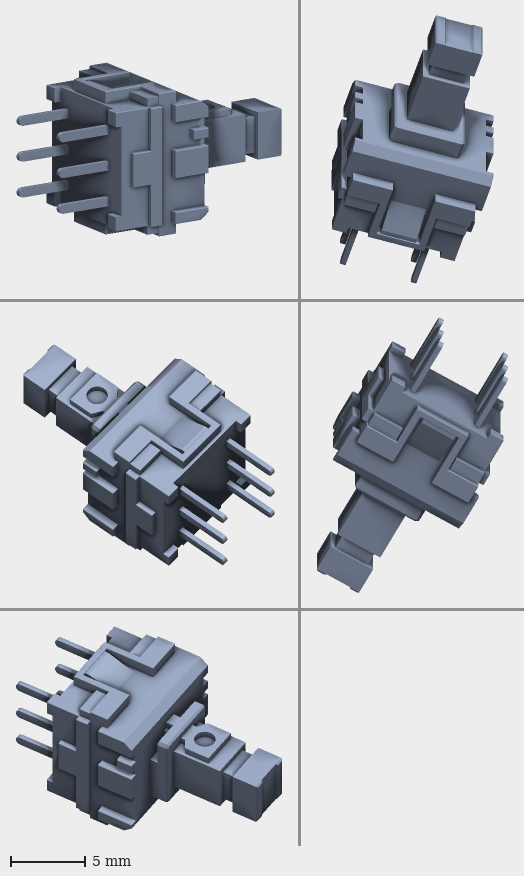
import cadquery as cq


block_half_x = 4.34
block_half_z = 4.15

edge_radius = 0.05

cover_rear_y = 3.64
cover_half_x = 4.9
cover_chamfer_y = 0.61
cover_chamfer_z = 0.48
tab_front_y = 0.96
small_tab_front_y = 2.45
side_tabs = [
    (2.95, block_half_z, tab_front_y),
    (1.5, 2.2, small_tab_front_y),
    (-0.96, 0.96, tab_front_y),
    (-block_half_z, -3.34, tab_front_y),
]

overall_z = 10.0
loop_half_z = overall_z / 2
loop_rear_y = 1.37
loop_inner_front_y = -2.32
loop_front_y = -2.78
loop_inner_half_x = 1.5
loop_outer_half_x = 1.98

collar_rear_y = 4.97
collar_half_x = 2.49
collar_half_z = 2.7
collar_side_chamfer = 0.2
collar_rear_chamfer = 0.15
notch_rear_y = 4.2
notch_inner_x = 0.46
notch_floor_z = 0.85

base_front_y = -3.0
flange_front_y = -0.89
flange_half_x = 4.73
flange_tongue_front_y = -2.3
flange_tongue_half_z = 1.19
rail_inner_x = 2.1
rail_outer_x = 4.27
rail_half_z = 4.77
foot_size = 1.02
foot_front_y = -3.47
hook_half_x = 1.25
hook_crest_y = -2.02
hook_height = 0.78

pin_pitch = 2.5
pin_width = 0.35
pin_height = 0.63
pin_tip_y = -6.94

stem_half = 1.65
neck_half = 1.25
stem_rear_y = 8.65
cap_front_y = 9.65
cap_rear_y = 11.48
ridge_height = 0.13
ridge_width = 0.75
ridge_chamfer = 0.11

latch_top_z = 2.15
latch_rear_y = 7.6
latch_taper_rear_y = 5.75
latch_taper_front_y = 5.32
latch_head_half_x = 1.43
latch_neck_half_x = 0.75
latch_hole_y = 6.42
latch_hole_diameter = 1.45


def box(x0, x1, y0, y1, z0, z1):
    """Box between two opposite corners."""
    return cq.Workplane("XY").box(x1 - x0, y1 - y0, z1 - z0, centered=False).translate((x0, y0, z0))


def centred_box(half_x, half_z, y0, y1):
    """Box centred on the Y axis."""
    return box(-half_x, half_x, y0, y1, -half_z, half_z)


def mirrored(shape, plane):
    """Shape together with its mirror image."""
    return shape.union(shape.mirror(plane))


def chamfered_profile(half_x):
    """Cover section in YZ with chamfered rear edges, extruded across X."""
    shoulder_y = cover_rear_y - cover_chamfer_y
    rear_half_z = block_half_z - cover_chamfer_z
    return (
        cq.Workplane("YZ")
        .moveTo(0, -block_half_z)
        .lineTo(shoulder_y, -block_half_z)
        .lineTo(cover_rear_y, -rear_half_z)
        .lineTo(cover_rear_y, rear_half_z)
        .lineTo(shoulder_y, block_half_z)
        .lineTo(0, block_half_z)
        .close()
        .extrude(half_x, both=True)
    )


def make_snap_loop():
    """Loop that stands on the top of the cover and reaches over the base."""
    half = (
        cq.Workplane("XY", origin=(0, 0, block_half_z))
        .moveTo(loop_inner_half_x, loop_rear_y)
        .lineTo(block_half_x, loop_rear_y)
        .lineTo(block_half_x, 0)
        .lineTo(loop_outer_half_x, 0)
        .lineTo(loop_outer_half_x, loop_front_y)
        .lineTo(0, loop_front_y)
        .lineTo(0, loop_inner_front_y)
        .lineTo(loop_inner_half_x, loop_inner_front_y)
        .close()
        .extrude(loop_half_z - block_half_z)
    )
    loop = mirrored(half, "YZ").clean()
    outer_corners = loop.faces("<X or >X").edges("|Z and >Y").vals()
    top_edges = loop.faces(">Z").edges().vals()
    return loop.newObject(outer_corners + top_edges).fillet(edge_radius)


def make_collar():
    """Chamfered collar with a notch in both upper corners."""
    collar = centred_box(collar_half_x, collar_half_z, cover_rear_y, collar_rear_y)
    collar = collar.edges("|Y").chamfer(collar_side_chamfer)
    collar = collar.faces(">Y").chamfer(collar_rear_chamfer)
    notch = box(notch_inner_x, collar_half_x, cover_rear_y, notch_rear_y, notch_floor_z, collar_half_z)
    return collar.cut(mirrored(notch, "YZ"))


def make_cover(plunger, latch):
    """Cover with side tabs, snap loops and collar, opened for the plunger and latch plate."""
    cover = chamfered_profile(block_half_x)
    tab_stock = chamfered_profile(cover_half_x)
    for lower_z, upper_z, front_y in side_tabs:
        band = box(-cover_half_x, cover_half_x, front_y, cover_rear_y, lower_z, upper_z)
        cover = cover.union(tab_stock.intersect(band))
    cover = cover.faces("<X or >X").edges().fillet(edge_radius)
    loops = mirrored(make_snap_loop(), "XY")
    return cover.union(loops).union(make_collar()).cut(plunger).cut(latch)


def make_hook():
    """Wedge that rises towards -Y to a flat crest and holds a snap loop."""
    crest_z = block_half_z + hook_height
    return (
        cq.Workplane("YZ")
        .moveTo(0, block_half_z)
        .lineTo(loop_inner_front_y, block_half_z)
        .lineTo(loop_inner_front_y, crest_z)
        .lineTo(hook_crest_y, crest_z)
        .close()
        .extrude(hook_half_x, both=True)
    )


def make_pin():
    """Flat pin with a half-round tip."""
    radius = pin_height / 2
    shoulder_y = pin_tip_y + radius
    return (
        cq.Workplane("YZ")
        .moveTo(base_front_y, -radius)
        .lineTo(shoulder_y, -radius)
        .threePointArc((pin_tip_y, 0), (shoulder_y, radius))
        .lineTo(base_front_y, radius)
        .close()
        .extrude(pin_width / 2, both=True)
    )


def make_footed_block():
    """Rounded block cut back between its corners, which leaves four feet."""
    block = centred_box(block_half_x, block_half_z, foot_front_y, 0)
    block = block.edges("|Y").fillet(edge_radius)
    gap_half_x = block_half_x - foot_size
    gap_half_z = block_half_z - foot_size
    block = block.cut(centred_box(gap_half_x, block_half_z, foot_front_y, base_front_y))
    block = block.cut(centred_box(block_half_x, gap_half_z, foot_front_y, base_front_y))
    return block.faces("<Y").edges().fillet(edge_radius)


def make_flange():
    """Side flange at the joint with a tongue in the middle of either side."""
    flange = centred_box(flange_half_x, block_half_z, flange_front_y, 0)
    tongue = centred_box(flange_half_x, flange_tongue_half_z, flange_tongue_front_y, 0)
    return flange.union(tongue).faces("<X or >X").edges().fillet(edge_radius)


def make_base():
    """Base block with flange, rails in front of the loop arms, hooks and six pins."""
    rail = box(rail_inner_x, rail_outer_x, flange_front_y, 0, -rail_half_z, rail_half_z)
    base = make_footed_block().union(make_flange())
    base = base.union(mirrored(rail, "YZ"))
    base = base.union(mirrored(make_hook(), "XY"))
    for column in (-1, 1):
        for row in (-1, 0, 1):
            place = (column * pin_pitch, 0, row * pin_pitch)
            base = base.union(make_pin().translate(place))
    return base


def make_plunger():
    """Square stem, neck and cap; the stem passes through the cover to the base."""
    plunger = centred_box(stem_half, stem_half, 0, stem_rear_y)
    plunger = plunger.union(centred_box(neck_half, neck_half, stem_rear_y, cap_front_y))
    plunger = plunger.union(centred_box(stem_half, stem_half, cap_front_y, cap_rear_y))
    ridge = box(
        stem_half - ridge_width, stem_half,
        cap_rear_y, cap_rear_y + ridge_height,
        -stem_half, stem_half,
    )
    ridge = ridge.faces(">Y").chamfer(ridge_chamfer)
    return plunger.union(mirrored(ridge, "YZ"))


def make_latch():
    """Plate with a wide perforated head and a neck that runs into the cover."""
    half = (
        cq.Workplane("XY", origin=(0, 0, stem_half))
        .moveTo(0, 0)
        .lineTo(latch_neck_half_x, 0)
        .lineTo(latch_neck_half_x, latch_taper_front_y)
        .lineTo(latch_head_half_x, latch_taper_rear_y)
        .lineTo(latch_head_half_x, latch_rear_y)
        .lineTo(0, latch_rear_y)
        .close()
        .extrude(latch_top_z - stem_half)
    )
    hole = (
        cq.Workplane("XY", origin=(0, latch_hole_y, stem_half))
        .circle(latch_hole_diameter / 2)
        .extrude(latch_top_z - stem_half)
    )
    return mirrored(half, "YZ").cut(hole)


plunger = make_plunger()
latch = make_latch()
cover = make_cover(plunger, latch)
base = make_base()

result = cq.Compound.makeCompound([cover.val(), base.val(), plunger.val(), latch.val()])